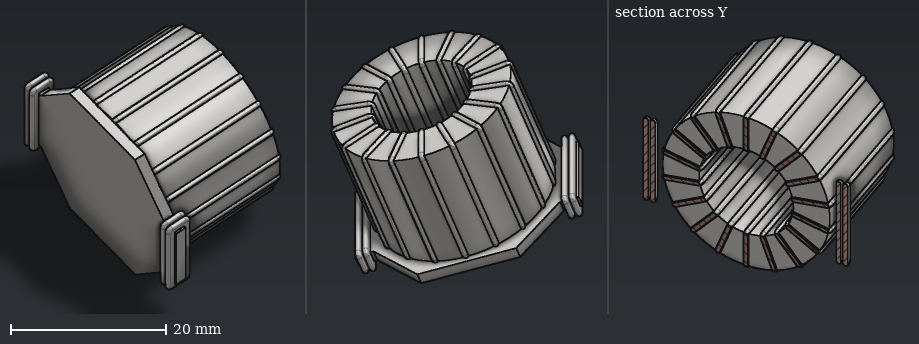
import cadquery as cq

WIRE_DIAMETER = 0.8
WIRE_RADIUS = WIRE_DIAMETER / 2
BEND_RADIUS = 0.43

PLATE_THICKNESS = 1.6
PLATE_LENGTH = 30.5
OCTAGON_SIZE = 25.4
OCTAGON_FLAT = 13.48
TAB_HEIGHT = 11.3

WRAP_MARGIN = 1.13
WRAP_PITCH = 1.0
WRAPS_PER_TAB = 2
OUTER_WRAP_INSET = 0.7

CORE_RADIUS = 12.2
CORE_HOLE_RADIUS = 6.85
CORE_LENGTH = 17.63
TURN_COUNT = 18
TURN_SINK = 0.03
CORE_FRONT = WIRE_RADIUS - TURN_SINK


def wire_loop(plane, width, height):
    """Round wire bent into a closed rectangular loop with rounded corners."""
    half_width = width / 2
    half_height = height / 2
    straight_x = half_width - BEND_RADIUS
    straight_y = half_height - BEND_RADIUS
    path = (
        cq.Workplane(plane)
        .moveTo(0, -half_height)
        .lineTo(straight_x, -half_height)
        .tangentArcPoint((half_width, -straight_y), relative=False)
        .lineTo(half_width, straight_y)
        .tangentArcPoint((straight_x, half_height), relative=False)
        .lineTo(-straight_x, half_height)
        .tangentArcPoint((-half_width, straight_y), relative=False)
        .lineTo(-half_width, -straight_y)
        .tangentArcPoint((-straight_x, -half_height), relative=False)
        .close()
    )
    start = plane.toWorldCoords((0, -half_height, 0))
    section = cq.Plane(origin=start, xDir=plane.zDir, normal=plane.xDir)
    return cq.Workplane(section).circle(WIRE_RADIUS).sweep(path)


def octagonal_plate():
    """Flat octagon with a rectangular tab out to each side."""
    half_size = OCTAGON_SIZE / 2
    half_flat = OCTAGON_FLAT / 2
    half_tab = TAB_HEIGHT / 2
    octagon = (
        cq.Workplane("XZ")
        .polyline([
            (half_flat, half_size),
            (half_size, half_tab),
            (half_size, -half_tab),
            (half_flat, -half_size),
            (-half_flat, -half_size),
            (-half_size, -half_tab),
            (-half_size, half_tab),
            (-half_flat, half_size),
        ])
        .close()
        .extrude(PLATE_THICKNESS)
    )
    tabs = cq.Workplane("XZ").rect(PLATE_LENGTH, TAB_HEIGHT).extrude(PLATE_THICKNESS)
    return octagon.union(tabs)


def terminal_wrap(x):
    """Flat-sided collar with a fully rounded rim, around a tab at the given X."""
    plane = cq.Plane(origin=(x, -PLATE_THICKNESS / 2, 0), xDir=(0, 1, 0), normal=(1, 0, 0))
    rim_depth = PLATE_THICKNESS + 2 * (WRAP_MARGIN - WIRE_RADIUS)
    rim_height = TAB_HEIGHT + 2 * (WRAP_MARGIN - WIRE_RADIUS)
    rim = wire_loop(plane, rim_depth, rim_height)
    web = (
        cq.Workplane(plane)
        .rect(rim_depth, rim_height)
        .extrude(WIRE_RADIUS, both=True)
        .edges("|X")
        .fillet(BEND_RADIUS)
    )
    return web.union(rim)


def make_base():
    """Octagonal plate with the terminal wraps on both tabs."""
    base = octagonal_plate()
    for index in range(WRAPS_PER_TAB):
        x = PLATE_LENGTH / 2 - OUTER_WRAP_INSET - index * WRAP_PITCH
        base = base.union(terminal_wrap(x)).union(terminal_wrap(-x))
    return base


def make_coil():
    """Ring core with evenly spaced turns, each about half buried in its surface."""
    coil = (
        cq.Workplane("XZ", origin=(0, CORE_FRONT, 0))
        .circle(CORE_RADIUS)
        .circle(CORE_HOLE_RADIUS)
        .extrude(-CORE_LENGTH)
    )
    wall = CORE_RADIUS - CORE_HOLE_RADIUS
    turn_centre = (0, CORE_FRONT + CORE_LENGTH / 2, CORE_HOLE_RADIUS + wall / 2)
    turn_plane = cq.Plane(origin=turn_centre, xDir=(0, 1, 0), normal=(1, 0, 0))
    turn = wire_loop(turn_plane, CORE_LENGTH - 2 * TURN_SINK, wall - 2 * TURN_SINK)
    for index in range(TURN_COUNT):
        angle = index * 360 / TURN_COUNT
        coil = coil.union(turn.rotate((0, 0, 0), (0, 1, 0), angle))
    return coil


base = make_base()
coil = make_coil()
result = cq.Compound.makeCompound([base.solids().val(), coil.solids().val()])